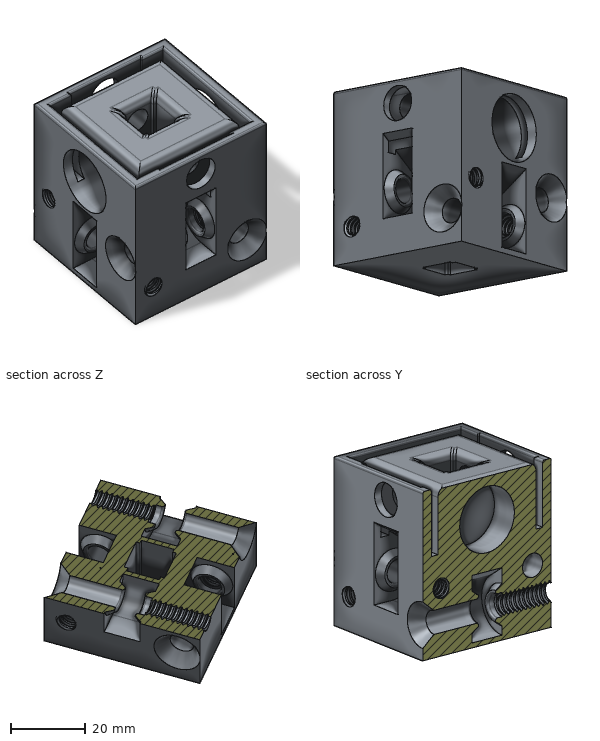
import cadquery as cq
import math

WIDTH = 44.6
HEIGHT = 48.25
HALF = WIDTH / 2
RIM_ROUND = 0.68

WALL = 3.1
MOAT_FLOOR_Z = 29.2
RECESS_WIDTH = 24.05
RECESS_DEPTH = 0.68
BLOCK_WIDTH = 34.15
BLOCK_ROUND = 2.75

SHAFT_WIDTH = 11.4
SHAFT_ROUND = 2.6
SHAFT_POST = 1.05

MAGNET_DIAMETER = 18.75
MAGNET_DEPTH = 14.95
MAGNET_Z = 35.5

CROSS_DIAMETER = 7.15
CROSS_WALL_DIAMETER = 9.7
CROSS_Z = 41.7

SLOT_WIDTH = 10.2
SLOT_RADIUS = 8.65
SLOT_RISE = 14.95
AXIS_INSET = 6.5
AXIS_Z_ON_Y_SIDES = 10.2
AXIS_Z_ON_X_SIDES = 19.05
BOSS_BASE_DIAMETER = 12.05
BOSS_TIP_DIAMETER = 9.0
BOSS_LENGTH = 2.15
BOSS_MOUTH_ROUND = 0.65

CLEARANCE_DIAMETER = 6.75
HEAD_DIAMETER = 13.2
HEAD_DEPTH = 3.85
CLEARANCE_INTO_BOSS = 2.25
THREAD_MINOR_DIAMETER = 5.1
THREAD_MAJOR_DIAMETER = 6.35
THREAD_PITCH = 1.5
THREAD_MOUTH = 0.9
THREAD_ROOT = 0.1
THREAD_OVERLAP = 0.05

AXIS_OFFSET = HALF - AXIS_INSET
BOSS_TIP_OFFSET = SLOT_WIDTH / 2 - BOSS_LENGTH
THREAD_START = BOSS_TIP_OFFSET + CLEARANCE_INTO_BOSS


def centred_box(size_x, size_y, bottom, top):
    return cq.Workplane("XY", origin=(0, 0, bottom)).rect(size_x, size_y).extrude(top - bottom)


def cylinder_y(diameter, start, length, z):
    """Cylinder along +Y from y = start, on x = 0."""
    return cq.Workplane("XZ", origin=(0, start, z)).circle(diameter / 2).extrude(-length)


def cylinder_x(diameter, length, z):
    """Cylinder along X, centred on the origin plane."""
    return cq.Workplane("YZ", origin=(0, 0, z)).circle(diameter / 2).extrude(length / 2, both=True)


def flared_prism(plane, width, radius, bottom, length):
    """Slab of the given width whose top flares out with a rounded lip at z = HEIGHT."""
    half = width / 2
    shoulder = HEIGHT - radius
    bend = radius * (1 - math.sqrt(0.5))
    return (
        cq.Workplane(plane)
        .moveTo(-half, bottom)
        .lineTo(half, bottom)
        .lineTo(half, shoulder)
        .threePointArc((half + bend, HEIGHT - bend), (half + radius, HEIGHT))
        .lineTo(-half - radius, HEIGHT)
        .threePointArc((-half - bend, HEIGHT - bend), (-half, shoulder))
        .close()
        .extrude(length, both=True)
    )


def flared_opening(size_x, size_y, radius, bottom):
    """Cutter for a rectangular opening with a rounded, mitred top edge."""
    along_y = flared_prism("XZ", size_x, radius, bottom, WIDTH)
    along_x = flared_prism("YZ", size_y, radius, bottom, WIDTH)
    return along_y.intersect(along_x)


def shell():
    cavity = WIDTH - 2 * WALL
    body = centred_box(WIDTH, WIDTH, 0, HEIGHT).faces(">Z").edges().fillet(RIM_ROUND)
    body = body.cut(flared_opening(cavity, cavity, RIM_ROUND, MOAT_FLOOR_Z))
    recess = flared_opening(cavity + 2 * RECESS_DEPTH, RECESS_WIDTH, RIM_ROUND, MOAT_FLOOR_Z)
    return body.cut(recess)


def central_block():
    block = centred_box(BLOCK_WIDTH, BLOCK_WIDTH, 0, HEIGHT)
    return block.faces(">Z").edges().fillet(BLOCK_ROUND)


def shaft():
    narrow = SHAFT_WIDTH - 2 * SHAFT_POST
    arm_x = flared_opening(SHAFT_WIDTH, narrow, SHAFT_ROUND, 0)
    arm_y = flared_opening(narrow, SHAFT_WIDTH, SHAFT_ROUND, 0)
    return arm_x.union(arm_y)


def wheel_slot(axis_z):
    """Wheel slot in the -Y side: round at the axle, with a sloping tangent roof."""
    axis_y = -AXIS_OFFSET
    reach = math.hypot(AXIS_INSET, SLOT_RISE)
    tangent = math.acos(SLOT_RADIUS / reach) - math.atan2(AXIS_INSET, SLOT_RISE)
    middle = (tangent + math.pi) / 2

    def rim_point(angle):
        return (axis_y + SLOT_RADIUS * math.sin(angle), axis_z + SLOT_RADIUS * math.cos(angle))

    slot = (
        cq.Workplane("YZ")
        .moveTo(-HALF, axis_z + SLOT_RISE)
        .lineTo(*rim_point(tangent))
        .threePointArc(rim_point(middle), rim_point(math.pi))
        .lineTo(-HALF, axis_z - SLOT_RADIUS)
        .close()
        .extrude(SLOT_WIDTH / 2, both=True)
    )
    bore = CLEARANCE_DIAMETER / 2
    bend = BOSS_MOUTH_ROUND * (1 - math.sqrt(0.5))
    boss = (
        cq.Workplane("XY")
        .moveTo(SLOT_WIDTH / 2, bore)
        .lineTo(BOSS_TIP_OFFSET + BOSS_MOUTH_ROUND, bore)
        .threePointArc(
            (BOSS_TIP_OFFSET + bend, bore + bend),
            (BOSS_TIP_OFFSET, bore + BOSS_MOUTH_ROUND),
        )
        .lineTo(BOSS_TIP_OFFSET, BOSS_TIP_DIAMETER / 2)
        .lineTo(SLOT_WIDTH / 2, BOSS_BASE_DIAMETER / 2)
        .close()
        .revolve(360, (0, 0, 0), (1, 0, 0))
        .translate((0, axis_y, axis_z))
    )
    return slot.cut(boss).cut(boss.mirror("YZ"))


def axle_thread(axis_z):
    """Helical V groove on the axle of the -Y slot, running out through the +X side."""
    inner = THREAD_MINOR_DIAMETER / 2 - THREAD_OVERLAP
    outer = THREAD_MAJOR_DIAMETER / 2
    lead_in = THREAD_PITCH / 2
    length = HALF - THREAD_START + lead_in + THREAD_PITCH
    helix = cq.Wire.makeHelix(THREAD_PITCH, length, THREAD_MINOR_DIAMETER / 2)
    return (
        cq.Workplane("XZ")
        .moveTo(inner, -THREAD_MOUTH / 2)
        .lineTo(outer, -THREAD_ROOT / 2)
        .lineTo(outer, THREAD_ROOT / 2)
        .lineTo(inner, THREAD_MOUTH / 2)
        .close()
        .sweep(cq.Workplane(helix), isFrenet=True)
        .rotate((0, 0, 0), (0, 1, 0), 90)
        .translate((THREAD_START - lead_in, -AXIS_OFFSET, axis_z))
    )


def axle_hole(axis_z):
    """Axle hole of the -Y slot: countersunk in the -X side, narrowed for the thread at +X."""
    return (
        cq.Workplane("XY")
        .moveTo(-HALF, 0)
        .lineTo(-HALF, HEAD_DIAMETER / 2)
        .lineTo(-HALF + HEAD_DEPTH, CLEARANCE_DIAMETER / 2)
        .lineTo(THREAD_START, CLEARANCE_DIAMETER / 2)
        .lineTo(THREAD_START, THREAD_MINOR_DIAMETER / 2)
        .lineTo(HALF, THREAD_MINOR_DIAMETER / 2)
        .lineTo(HALF, 0)
        .close()
        .revolve(360, (0, 0, 0), (1, 0, 0))
        .translate((0, -AXIS_OFFSET, axis_z))
    )


body = shell().union(central_block()).cut(shaft())

for start in (-HALF, HALF - MAGNET_DEPTH):
    body = body.cut(cylinder_y(MAGNET_DIAMETER, start, MAGNET_DEPTH, MAGNET_Z))

wall_bore = cylinder_x(CROSS_WALL_DIAMETER, WIDTH, CROSS_Z)
wall_bore = wall_bore.cut(centred_box(BLOCK_WIDTH, BLOCK_WIDTH, 0, HEIGHT))
body = body.cut(wall_bore).cut(cylinder_x(CROSS_DIAMETER, WIDTH, CROSS_Z))

SIDES = (
    (0, AXIS_Z_ON_Y_SIDES),
    (180, AXIS_Z_ON_Y_SIDES),
    (-90, AXIS_Z_ON_X_SIDES),
    (90, AXIS_Z_ON_X_SIDES),
)
for turn, axis_z in SIDES:
    for cutter in (axle_thread(axis_z), axle_hole(axis_z), wheel_slot(axis_z)):
        body = body.cut(cutter.rotate((0, 0, 0), (0, 0, 1), turn))

result = body